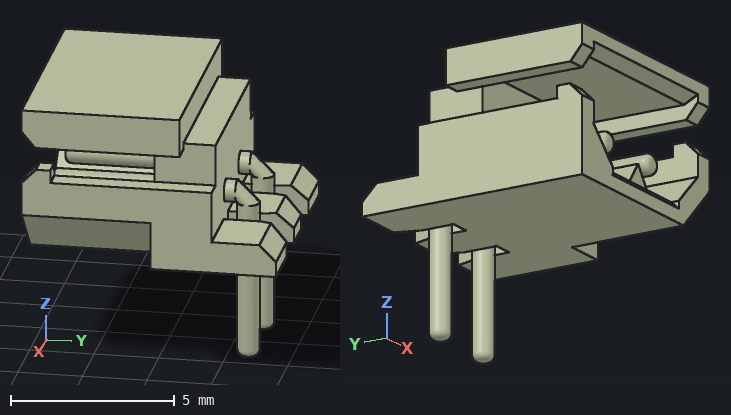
import cadquery as cq
import math

WIDTH = 7.4
LENGTH = 7.9
HEIGHT = 4.9

SIDE_WALL_TOP = 2.6
TAB_TOP = 3.0
TAB_LENGTH = 0.9
TAB_CHAMFER = 0.45

REAR_WALL_FRONT = 4.0
REAR_WALL_BACK = 5.9
BLOCK_TOP = 3.9

ROOF_LENGTH = 4.9
ROOF_UNDERSIDE = 3.7
ROOF_CHAMFER_LENGTH = 0.42
ROOF_CHAMFER_HEIGHT = 0.5

FLANGE_TOP = 1.0
FLANGE_CHAMFER = 0.52

CAVITY_HALF_WIDTH = 3.02
CAVITY_FLOOR_HALF_WIDTH = 1.91
CAVITY_FLOOR = 0.72
CAVITY_SLOPE_TOP = 1.8
CAVITY_CEILING = 4.2
LEAD_IN_HEIGHT = 0.25
FLOOR_LEAD_IN_LENGTH = 0.28
CEILING_LEAD_IN_LENGTH = 0.5

RIDGE_HALF_WIDTH = 0.5
RIDGE_HEIGHT = 0.7

CORNER_BEVEL = 1.5

PIN_PITCH = 2.5
PIN_DIAMETER = 0.7
PIN_RADIUS = PIN_DIAMETER / 2
PIN_TIP_FILLET = 0.2
PIN_FRONT = 0.5
PIN_BOTTOM = -3.5
PIN_AXIS_Z = 1.82
PIN_AXIS_Y = 6.6
PIN_POSITIONS = (-PIN_PITCH / 2, PIN_PITCH / 2)

SLOT_WIDTH = 0.72
SLOT_FLARE_START = 7.05
SLOT_MOUTH_WIDTH = 1.25


def side_profile(points, half_width):
    """Extrude a (Y, Z) outline symmetrically about X = 0."""
    return cq.Workplane("YZ").polyline(points).close().extrude(half_width, both=True)


def front_profile(points, y_start, y_end):
    """Extrude an (X, Z) outline from y_start back to y_end."""
    plane = cq.Workplane("XZ", origin=(0, y_start, 0))
    return plane.polyline(points).close().extrude(y_start - y_end)


def make_base():
    """Side walls, rear wall and flange as one solid block."""
    return side_profile(
        [
            (0, 0),
            (LENGTH, 0),
            (LENGTH, FLANGE_TOP - FLANGE_CHAMFER),
            (LENGTH - FLANGE_CHAMFER, FLANGE_TOP),
            (REAR_WALL_BACK, FLANGE_TOP),
            (REAR_WALL_BACK, SIDE_WALL_TOP),
            (TAB_LENGTH, SIDE_WALL_TOP),
            (TAB_LENGTH, TAB_TOP),
            (TAB_CHAMFER, TAB_TOP),
            (0, TAB_TOP - TAB_CHAMFER),
        ],
        WIDTH / 2,
    )


def make_roof():
    """Overhanging roof with a chamfered lower front edge."""
    return side_profile(
        [
            (0, HEIGHT),
            (ROOF_LENGTH, HEIGHT),
            (ROOF_LENGTH, ROOF_UNDERSIDE),
            (ROOF_CHAMFER_LENGTH, ROOF_UNDERSIDE),
            (0, ROOF_UNDERSIDE + ROOF_CHAMFER_HEIGHT),
        ],
        WIDTH / 2,
    )


def make_block():
    """Block that carries the roof on the rear wall."""
    return side_profile(
        [
            (REAR_WALL_FRONT, FLANGE_TOP),
            (REAR_WALL_BACK, FLANGE_TOP),
            (REAR_WALL_BACK, BLOCK_TOP),
            (REAR_WALL_FRONT, BLOCK_TOP),
        ],
        CAVITY_HALF_WIDTH,
    )


def make_cavity():
    """Cavity volume, including the lead-ins at its floor and ceiling."""
    cavity = front_profile(
        [
            (-CAVITY_FLOOR_HALF_WIDTH, CAVITY_FLOOR),
            (CAVITY_FLOOR_HALF_WIDTH, CAVITY_FLOOR),
            (CAVITY_HALF_WIDTH, CAVITY_SLOPE_TOP),
            (CAVITY_HALF_WIDTH, CAVITY_CEILING),
            (-CAVITY_HALF_WIDTH, CAVITY_CEILING),
            (-CAVITY_HALF_WIDTH, CAVITY_SLOPE_TOP),
        ],
        0,
        REAR_WALL_FRONT,
    )
    floor_lead_in = side_profile(
        [
            (0, CAVITY_FLOOR),
            (0, CAVITY_FLOOR - LEAD_IN_HEIGHT),
            (FLOOR_LEAD_IN_LENGTH, CAVITY_FLOOR),
        ],
        CAVITY_FLOOR_HALF_WIDTH,
    )
    ceiling_lead_in = side_profile(
        [
            (0, CAVITY_CEILING),
            (0, CAVITY_CEILING + LEAD_IN_HEIGHT),
            (CEILING_LEAD_IN_LENGTH, CAVITY_CEILING),
        ],
        CAVITY_HALF_WIDTH,
    )
    return cavity.union(floor_lead_in).union(ceiling_lead_in)


def make_ridge():
    """Triangular ridge running from the floor lead-in to the rear wall."""
    return front_profile(
        [
            (-RIDGE_HALF_WIDTH, CAVITY_FLOOR),
            (RIDGE_HALF_WIDTH, CAVITY_FLOOR),
            (0, CAVITY_FLOOR + RIDGE_HEIGHT),
        ],
        FLOOR_LEAD_IN_LENGTH,
        REAR_WALL_FRONT,
    )


def make_corner_bevel():
    """Triangular prism removed from the lower +X corner."""
    return front_profile(
        [
            (WIDTH / 2, 0),
            (WIDTH / 2, CORNER_BEVEL),
            (WIDTH / 2 - CORNER_BEVEL, 0),
        ],
        0,
        REAR_WALL_FRONT,
    )


def make_slot(x):
    """Flared slot through the flange for the pin at x."""
    outline = [
        (x - SLOT_WIDTH / 2, REAR_WALL_BACK),
        (x + SLOT_WIDTH / 2, REAR_WALL_BACK),
        (x + SLOT_WIDTH / 2, SLOT_FLARE_START),
        (x + SLOT_MOUTH_WIDTH / 2, LENGTH),
        (x - SLOT_MOUTH_WIDTH / 2, LENGTH),
        (x - SLOT_WIDTH / 2, SLOT_FLARE_START),
    ]
    return cq.Workplane("XY").polyline(outline).close().extrude(FLANGE_TOP)


def make_pin(x):
    """Right-angle pin whose bend is a 45 degree length joining the two legs."""
    bend_y = PIN_AXIS_Y - PIN_RADIUS
    bend_z = PIN_AXIS_Z - PIN_RADIUS

    horizontal_leg = (
        cq.Workplane("XZ", origin=(x, bend_y, PIN_AXIS_Z))
        .circle(PIN_RADIUS)
        .extrude(bend_y - PIN_FRONT)
        .faces("<Y")
        .edges()
        .fillet(PIN_TIP_FILLET)
    )
    vertical_leg = (
        cq.Workplane("XY", origin=(x, PIN_AXIS_Y, PIN_BOTTOM))
        .circle(PIN_RADIUS)
        .extrude(bend_z - PIN_BOTTOM)
        .faces("<Z")
        .edges()
        .fillet(PIN_TIP_FILLET)
    )

    bar_start = (x, PIN_AXIS_Y + PIN_RADIUS, bend_z - PIN_RADIUS)
    bar_plane = cq.Plane(origin=bar_start, xDir=(1, 0, 0), normal=(0, -1, 1))
    bar = cq.Workplane(bar_plane).ellipse(PIN_RADIUS, PIN_RADIUS / math.sqrt(2))
    bar = bar.extrude(PIN_DIAMETER * 2)
    limit_size = PIN_DIAMETER * 2
    bend_limits = cq.Workplane("XY").box(
        limit_size, limit_size, limit_size, centered=(True, False, False)
    )
    bend = bar.intersect(bend_limits.translate((x, bend_y, bend_z)))

    return horizontal_leg.union(bend).union(vertical_leg)


housing = make_base().union(make_roof()).union(make_block())
housing = housing.cut(make_cavity()).union(make_ridge()).cut(make_corner_bevel())

result = housing
for pin_x in PIN_POSITIONS:
    result = result.cut(make_slot(pin_x)).union(make_pin(pin_x))